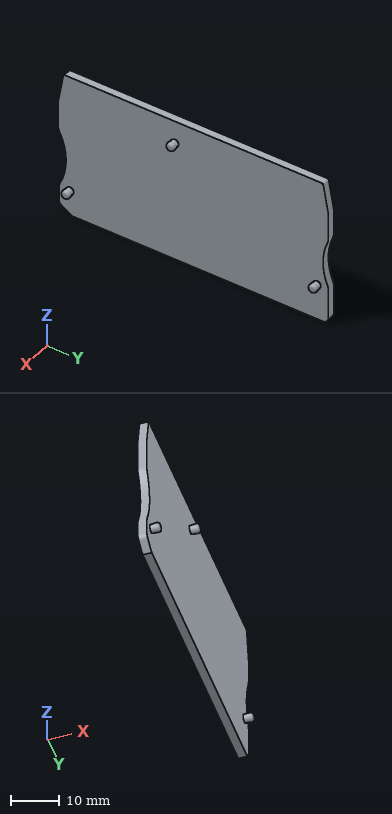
import cadquery as cq
import math

length = 67.8
height = 36.5
plate_thickness = 2.05
total_thickness = 4.1

taper_angle = math.radians(10)
taper_start_z = 28.95
top_corner_radius = 0.5

recess_radius = 14.9
recess_blend_radius = 3.0
back_recess_depth = 1.35
back_recess_z = 15.65
front_recess_depth = 2.0
front_recess_z = 14.05

back_corner_radius = 1.5
front_step = 0.2
bevel_width = 3.2
bevel_height = 2.05
bevel_blend_radius = 1.35

pin_centres = [(-4.6, 30.8), (31.05, 9.15), (-30.9, 6.5)]
pin_root_diameter = 1.9
pin_head_diameter = 2.1
pin_tip_diameter = 1.0
pin_hole_diameter = 1.2
pin_hole_depth = plate_thickness

back_y = length / 2
front_y = -length / 2
lower_front_y = front_y + front_step
taper_inset = (height - taper_start_z) * math.tan(taper_angle)


def recess_half_height(depth):
    """Half the opening of a circular recess of the given depth."""
    return math.sqrt(2 * recess_radius * depth - depth**2)


def round_corners(body, corners, radius):
    """Fillet the edges along X that pass through the given (Y, Z) corners."""
    for y, z in corners:
        edge = cq.selectors.NearestToPointSelector((plate_thickness / 2, y, z))
        body = body.edges("|X").edges(edge).fillet(radius)
    return body


def make_plate():
    back_half = recess_half_height(back_recess_depth)
    front_half = recess_half_height(front_recess_depth)
    lower_front_half = recess_half_height(front_recess_depth - front_step)

    top_back = (back_y - taper_inset, height)
    top_front = (front_y + taper_inset, height)
    back_recess_top = (back_y, back_recess_z + back_half)
    back_recess_bottom = (back_y, back_recess_z - back_half)
    front_recess_top = (front_y, front_recess_z + front_half)
    front_recess_bottom = (lower_front_y, front_recess_z - lower_front_half)
    bevel_top = (lower_front_y, bevel_height)
    bottom_back = (back_y, 0)

    plate = (
        cq.Workplane("YZ")
        .moveTo(*top_front)
        .lineTo(*top_back)
        .lineTo(back_y, taper_start_z)
        .lineTo(*back_recess_top)
        .threePointArc((back_y - back_recess_depth, back_recess_z), back_recess_bottom)
        .lineTo(*bottom_back)
        .lineTo(lower_front_y + bevel_width, 0)
        .lineTo(*bevel_top)
        .lineTo(*front_recess_bottom)
        .threePointArc((front_y + front_recess_depth, front_recess_z), front_recess_top)
        .lineTo(front_y, taper_start_z)
        .close()
        .extrude(plate_thickness)
    )
    recess_corners = [back_recess_top, back_recess_bottom, front_recess_top, front_recess_bottom]
    plate = round_corners(plate, [top_back, top_front], top_corner_radius)
    plate = round_corners(plate, recess_corners, recess_blend_radius)
    plate = round_corners(plate, [bottom_back], back_corner_radius)
    return round_corners(plate, [bevel_top], bevel_blend_radius)


def make_pin():
    """Pin along +X that widens from its root and ends in a rounded tip."""
    head_radius = pin_head_diameter / 2
    tip_radius = pin_tip_diameter / 2
    rounding = head_radius - tip_radius
    shoulder_x = total_thickness - rounding
    arc_offset = rounding * math.sqrt(0.5)
    return (
        cq.Workplane("XY")
        .moveTo(plate_thickness, 0)
        .lineTo(plate_thickness, pin_root_diameter / 2)
        .lineTo(shoulder_x, head_radius)
        .threePointArc(
            (shoulder_x + arc_offset, tip_radius + arc_offset),
            (total_thickness, tip_radius),
        )
        .lineTo(total_thickness, 0)
        .close()
        .revolve(360, (0, 0, 0), (1, 0, 0))
    )


result = make_plate()
for pin_y, pin_z in pin_centres:
    result = result.union(make_pin().translate((0, pin_y, pin_z)))

bores = (
    cq.Workplane("YZ")
    .pushPoints(pin_centres)
    .circle(pin_hole_diameter / 2)
    .extrude(pin_hole_depth)
)
result = result.cut(bores)